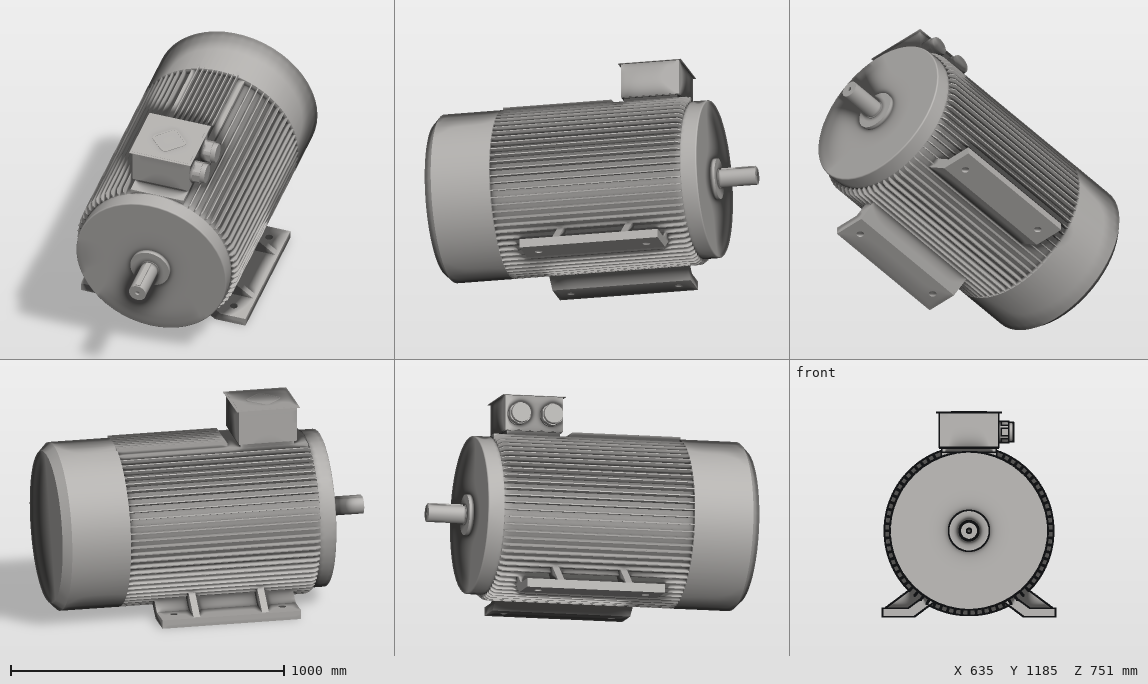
import cadquery as cq
import math


CENTRE_HEIGHT = 315.0
OVERALL_HEIGHT = 751.0
OVERALL_LENGTH = 1185.0
TOP_Z = OVERALL_HEIGHT - CENTRE_HEIGHT

SHAFT_DIA = 65.0
SHAFT_LENGTH = 140.0
COLLAR_DIA = 72.0
COLLAR_PROJECTION = 3.0
CENTRE_HOLE_DIA = 17.29
CENTRE_HOLE_DEPTH = 30.0
DRILL_POINT_ANGLE = 120.0
KEY_WIDTH = 18.0
KEY_LENGTH = 130.0
KEY_TOP = 36.5
KEY_HEIGHT = 11.0
KEY_END_GAP = 4.0

BOSS_DIA = 150.0
BOSS_THICKNESS = 17.0
SHIELD_DIA = 580.0
SHIELD_THICKNESS = 60.0
SHIELD_FILLET = 5.0
SHIELD_FRONT_Y = COLLAR_PROJECTION + BOSS_THICKNESS
SHIELD_REAR_Y = SHIELD_FRONT_Y + SHIELD_THICKNESS

COWL_DIA = 620.0
COWL_LENGTH = 250.0
COWL_CHAMFER = 30.0
COWL_REAR_Y = OVERALL_LENGTH - SHAFT_LENGTH
COWL_FRONT_Y = COWL_REAR_Y - COWL_LENGTH

CORE_DIA = 575.0
FIN_COUNT = 72
FIN_THICKNESS = 4.0
FIN_FRONT_GAP = 1.0
FIN_FRONT_DIA = 602.0
FIN_BEVEL_LENGTH = 15.0
FIN_FRONT_Y = SHIELD_REAR_Y + FIN_FRONT_GAP

PAD_WIDTH = 204.0
PAD_TOP_Z = 288.0
PAD_FRONT_GAP = 7.0
PAD_FRONT_Y = SHIELD_REAR_Y + PAD_FRONT_GAP
PAD_FIN_COUNT = 9
PAD_FIN_PITCH = 18.75
PAD_FIN_THICKNESS = 3.5
PAD_FIN_TOP_Z = COWL_DIA / 2
PAD_FIN_FRONT_Y = 382.0
PAD_FIN_BEVEL_LENGTH = 8.0
PAD_FIN_BEVEL_HEIGHT = 10.0
PAD_FIN_OVERLAP = 4.0

BOX_SIDE = 218.0
BOX_CENTRE_Y = 238.0
BOX_BOTTOM_Z = 302.0
NECK_SIDE = 200.0
BASE_PLATE_SIDE = 214.0
BASE_PLATE_THICKNESS = 3.0
LID_SIDE = 237.0
LID_THICKNESS = 1.5
LID_RAISE = 0.5
BADGE_SIDE = 101.5
BADGE_CORNER_RADIUS = 20.0
BADGE_THICKNESS = 2.0
BADGE_OFFSET = 7.5
BADGE_TURN = 45.0
BADGE_RIM = 6.0
BADGE_RECESS = 1.0
BADGE_BOTTOM_Z = TOP_Z - BADGE_THICKNESS
LID_BOTTOM_Z = BADGE_BOTTOM_Z - LID_RAISE - LID_THICKNESS

GLAND_SPACING = 122.0
GLAND_Z = 361.5
GLAND_DIA = 80.0
GLAND_COLLAR_LENGTH = 9.0
GLAND_HEX_LENGTH = 27.5
GLAND_FLAT_COUNT = 6
GLAND_HEX_FLATS = 75.0
GLAND_CAP_DIA = 72.0
GLAND_CAP_FACE_DIA = 69.61
GLAND_CAP_LENGTH = 18.0
GLAND_CAP_TAPER_LENGTH = 5.0

FEET_WIDTH = 635.0
FOOT_LENGTH = 520.0
FOOT_CENTRE_Y = 419.0
FOOT_THICKNESS = 32.0
FOOT_INNER_X = 200.0
FOOT_BEND_X = 222.0
FOOT_SLOPE = math.radians(36.7)
FOOT_ROOT_X = 100.0
RIB_OUTER_X = 307.0
RIB_THICKNESS = 25.0
RIB_SPACING = 257.0
HOLE_DIA = 28.0
HOLE_SPACING_X = 508.0
HOLE_SPACING_Y = 406.0


def cylinder(diameter, y_start, y_end):
    """Solid cylinder on the shaft axis between two Y positions."""
    return cq.Workplane("XZ", origin=(0, y_start, 0)).circle(diameter / 2).extrude(y_start - y_end)


def block(width, depth, z_bottom, z_top, centre_y):
    """Upright box centred on X = 0."""
    base = cq.Workplane("XY", origin=(0, centre_y, z_bottom))
    return base.rect(width, depth).extrude(z_top - z_bottom)


def make_shaft():
    """Shaft with collar, feather key and a drilled centre hole in its end."""
    shaft = cylinder(SHAFT_DIA, -SHAFT_LENGTH, SHIELD_FRONT_Y)
    shaft = shaft.union(cylinder(COLLAR_DIA, 0, SHIELD_FRONT_Y))
    key_centre_y = -SHAFT_LENGTH + KEY_END_GAP + KEY_LENGTH / 2
    shaft = shaft.union(block(KEY_WIDTH, KEY_LENGTH, KEY_TOP - KEY_HEIGHT, KEY_TOP, key_centre_y))
    radius = CENTRE_HOLE_DIA / 2
    point_depth = radius / math.tan(math.radians(DRILL_POINT_ANGLE / 2))
    hole_profile = (
        cq.Workplane("XY")
        .moveTo(0, -SHAFT_LENGTH)
        .lineTo(radius, -SHAFT_LENGTH)
        .lineTo(radius, -SHAFT_LENGTH + CENTRE_HOLE_DEPTH)
        .lineTo(0, -SHAFT_LENGTH + CENTRE_HOLE_DEPTH + point_depth)
        .close()
    )
    return shaft.cut(hole_profile.revolve(360, (0, 0, 0), (0, 1, 0)))


def make_end_shield():
    """Front end shield with a rounded rim and a bearing boss."""
    shield = cylinder(SHIELD_DIA, SHIELD_FRONT_Y, SHIELD_REAR_Y)
    shield = shield.faces("<Y").edges().fillet(SHIELD_FILLET)
    return shield.union(cylinder(BOSS_DIA, COLLAR_PROJECTION, SHIELD_FRONT_Y))


def make_cowl():
    """Fan cowl with a chamfered rear rim."""
    cowl = cylinder(COWL_DIA, COWL_FRONT_Y, COWL_REAR_Y)
    return cowl.faces(">Y").edges().chamfer(COWL_CHAMFER)


def make_fins():
    """Ring of radial fins, bevelled at the front, left out where the flat pad lies."""
    fin_root = CORE_DIA / 2 - FIN_THICKNESS
    fin = (
        cq.Workplane("YZ", origin=(-FIN_THICKNESS / 2, 0, 0))
        .moveTo(FIN_FRONT_Y, fin_root)
        .lineTo(FIN_FRONT_Y, FIN_FRONT_DIA / 2)
        .lineTo(FIN_FRONT_Y + FIN_BEVEL_LENGTH, COWL_DIA / 2)
        .lineTo(COWL_FRONT_Y, COWL_DIA / 2)
        .lineTo(COWL_FRONT_Y, fin_root)
        .close()
        .extrude(FIN_THICKNESS)
    )
    pitch = 360.0 / FIN_COUNT
    fins = []
    for index in range(FIN_COUNT):
        angle = index * pitch
        root_x = abs(CORE_DIA / 2 * math.sin(math.radians(angle)))
        on_top = math.cos(math.radians(angle)) > 0
        if on_top and root_x < PAD_WIDTH / 2:
            continue
        fins.append(fin.rotate((0, 0, 0), (0, 1, 0), angle).val())
    return fins


def make_pad():
    """Flat pad along the top of the housing with low fins behind the terminal box."""
    pad_length = COWL_FRONT_Y - PAD_FRONT_Y
    pad = block(PAD_WIDTH, pad_length, 0, PAD_TOP_Z, PAD_FRONT_Y + pad_length / 2)
    fin = (
        cq.Workplane("YZ", origin=(-PAD_FIN_THICKNESS / 2, 0, 0))
        .moveTo(PAD_FIN_FRONT_Y, 0)
        .lineTo(PAD_FIN_FRONT_Y, PAD_FIN_TOP_Z - PAD_FIN_BEVEL_HEIGHT)
        .lineTo(PAD_FIN_FRONT_Y + PAD_FIN_BEVEL_LENGTH, PAD_FIN_TOP_Z)
        .lineTo(COWL_FRONT_Y + PAD_FIN_OVERLAP, PAD_FIN_TOP_Z)
        .lineTo(COWL_FRONT_Y + PAD_FIN_OVERLAP, 0)
        .close()
        .extrude(PAD_FIN_THICKNESS)
    )
    first_x = -PAD_FIN_PITCH * (PAD_FIN_COUNT - 1) / 2
    for index in range(PAD_FIN_COUNT):
        pad = pad.union(fin.translate((first_x + index * PAD_FIN_PITCH, 0, 0)))
    return pad


def make_badge():
    """Raised lozenge on the lid with rounded corners and a shallow recess inside its rim."""
    centre_y = BOX_CENTRE_Y - BADGE_OFFSET

    def lozenge(side, corner_radius, z_bottom, z_top):
        plate = block(side, side, z_bottom, z_top, 0).edges("|Z").fillet(corner_radius)
        return plate.rotate((0, 0, 0), (0, 0, 1), BADGE_TURN).translate((0, centre_y, 0))

    plate = lozenge(BADGE_SIDE, BADGE_CORNER_RADIUS, BADGE_BOTTOM_Z, TOP_Z)
    recess_side = BADGE_SIDE - 2 * BADGE_RIM
    recess_radius = BADGE_CORNER_RADIUS - BADGE_RIM
    return plate.cut(lozenge(recess_side, recess_radius, TOP_Z - BADGE_RECESS, TOP_Z))


def make_gland(centre_y):
    """Cable gland pointing to +X: round body with six wrench flats and a tapered round cap."""
    hex_start = BOX_SIDE / 2 + GLAND_COLLAR_LENGTH
    hex_end = hex_start + GLAND_HEX_LENGTH

    def plane(x):
        return cq.Workplane("YZ", origin=(x, centre_y, GLAND_Z))

    body_length = GLAND_COLLAR_LENGTH + GLAND_HEX_LENGTH
    body = plane(BOX_SIDE / 2).circle(GLAND_DIA / 2).extrude(body_length)
    half_flat_angle = 180.0 / GLAND_FLAT_COUNT
    across_corners = GLAND_HEX_FLATS / math.cos(math.radians(half_flat_angle))
    outside_hexagon = (
        plane(hex_start)
        .rect(2 * GLAND_DIA, 2 * GLAND_DIA)
        .polygon(GLAND_FLAT_COUNT, across_corners)
        .extrude(GLAND_HEX_LENGTH)
        .rotate((0, centre_y, GLAND_Z), (1, centre_y, GLAND_Z), half_flat_angle)
    )
    body = body.cut(outside_hexagon)
    cap = plane(hex_end).circle(GLAND_CAP_DIA / 2).extrude(GLAND_CAP_LENGTH)
    cap_taper = (GLAND_CAP_DIA - GLAND_CAP_FACE_DIA) / 2
    cap = cap.faces(">X").chamfer(GLAND_CAP_TAPER_LENGTH, cap_taper)
    return body.union(cap)


def make_terminal_box():
    """Terminal box on its neck, with an overhanging lid, badge and two cable glands."""
    base_top_z = BOX_BOTTOM_Z + BASE_PLATE_THICKNESS
    box = block(NECK_SIDE, NECK_SIDE, 0, BOX_BOTTOM_Z, BOX_CENTRE_Y)
    box = box.union(block(BASE_PLATE_SIDE, BASE_PLATE_SIDE, BOX_BOTTOM_Z, base_top_z, BOX_CENTRE_Y))
    box = box.union(block(BOX_SIDE, BOX_SIDE, base_top_z, BADGE_BOTTOM_Z, BOX_CENTRE_Y))
    lid_top_z = LID_BOTTOM_Z + LID_THICKNESS
    box = box.union(block(LID_SIDE, LID_SIDE, LID_BOTTOM_Z, lid_top_z, BOX_CENTRE_Y))
    box = box.union(make_badge())
    for side in (-1, 1):
        box = box.union(make_gland(BOX_CENTRE_Y + side * GLAND_SPACING / 2))
    return box


def make_foot():
    """Foot on the +X side: base plate bent up to the housing, two ribs and two bolt holes."""
    rise = math.tan(FOOT_SLOPE)
    base_top_z = -CENTRE_HEIGHT + FOOT_THICKNESS
    outer_x = FEET_WIDTH / 2
    foot = (
        cq.Workplane("XZ", origin=(0, FOOT_CENTRE_Y + FOOT_LENGTH / 2, 0))
        .moveTo(outer_x, -CENTRE_HEIGHT)
        .lineTo(outer_x, base_top_z)
        .lineTo(FOOT_BEND_X, base_top_z)
        .lineTo(FOOT_ROOT_X, base_top_z + (FOOT_BEND_X - FOOT_ROOT_X) * rise)
        .lineTo(FOOT_ROOT_X, -CENTRE_HEIGHT + (FOOT_INNER_X - FOOT_ROOT_X) * rise)
        .lineTo(FOOT_INNER_X, -CENTRE_HEIGHT)
        .close()
        .extrude(FOOT_LENGTH)
    )
    for side in (-1, 1):
        rib_centre_y = FOOT_CENTRE_Y + side * RIB_SPACING / 2
        rib = (
            cq.Workplane("XZ", origin=(0, rib_centre_y + RIB_THICKNESS / 2, 0))
            .moveTo(RIB_OUTER_X, base_top_z)
            .lineTo(FOOT_ROOT_X, base_top_z + (RIB_OUTER_X - FOOT_ROOT_X) * rise)
            .lineTo(FOOT_ROOT_X, base_top_z + (FOOT_BEND_X - FOOT_ROOT_X) * rise)
            .lineTo(FOOT_BEND_X, base_top_z)
            .close()
            .extrude(RIB_THICKNESS)
        )
        foot = foot.union(rib)
    holes = (
        cq.Workplane("XY", origin=(HOLE_SPACING_X / 2, FOOT_CENTRE_Y, -CENTRE_HEIGHT))
        .pushPoints([(0, -HOLE_SPACING_Y / 2), (0, HOLE_SPACING_Y / 2)])
        .circle(HOLE_DIA / 2)
        .extrude(FOOT_THICKNESS)
    )
    return foot.cut(holes)


def make_motor():
    """All parts joined into one solid."""
    core = cylinder(CORE_DIA, SHIELD_REAR_Y, COWL_FRONT_Y)
    foot = make_foot()
    parts = [
        make_end_shield(),
        make_cowl(),
        make_pad(),
        make_terminal_box(),
        make_shaft(),
        foot,
        foot.mirror("YZ"),
    ]
    motor = core.val().fuse(*make_fins())
    return cq.Workplane(motor.fuse(*[part.val() for part in parts]))


result = make_motor()